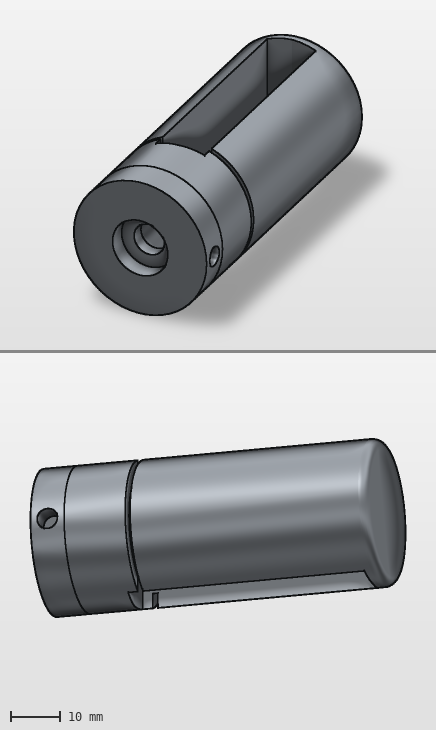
import cadquery as cq

TOTAL_LENGTH = 70.45
OUTER_DIAMETER = 30.0
REAR_ROUND = 2.0

CAP_LENGTH = 7.05
BORE_DIAMETER = 6.8
COUNTERBORE_DIAMETER = 12.5
COUNTERBORE_DEPTH = 4.0
SIDE_HOLE_DIAMETER = 4.2
SIDE_HOLE_DEPTH = 5.0

GROOVE_START = 19.8
GROOVE_WIDTH = 1.05
GROOVE_FLOOR_DIAMETER = 24.2

SLOT_WIDTH = 11.0
SLOT_FRONT = 17.75
SLOT_REAR = 67.15
SLOT_POINT = 0.3

OUTER_RADIUS = OUTER_DIAMETER / 2
SIDE_HOLE_Y = CAP_LENGTH / 2


def cylinder(diameter, start, length):
    """A solid cylinder on the Y axis, from Y = start towards +Y."""
    return cq.Workplane("XZ", origin=(0, start, 0)).circle(diameter / 2).extrude(-length)


def make_bore():
    """The axial hole through cap and barrel, running on into the open slot."""
    return cylinder(BORE_DIAMETER, 0, SLOT_FRONT)


def make_side_hole():
    """The blind radial hole in the +X side of the cap."""
    bottom_x = OUTER_RADIUS - SIDE_HOLE_DEPTH
    return (
        cq.Workplane("YZ", origin=(bottom_x, SIDE_HOLE_Y, 0))
        .circle(SIDE_HOLE_DIAMETER / 2)
        .extrude(SIDE_HOLE_DEPTH)
    )


def make_slot():
    """The long window that passes through along Z, with shallow V-shaped ends."""
    half_width = SLOT_WIDTH / 2
    outline = [
        (-half_width, SLOT_FRONT),
        (0, SLOT_FRONT - SLOT_POINT),
        (half_width, SLOT_FRONT),
        (half_width, SLOT_REAR),
        (0, SLOT_REAR + SLOT_POINT),
        (-half_width, SLOT_REAR),
    ]
    return cq.Workplane("XY").polyline(outline).close().extrude(OUTER_RADIUS, both=True)


def make_groove():
    """The ring that is cut away to leave the narrow groove around the barrel."""
    ring = cylinder(OUTER_DIAMETER, GROOVE_START, GROOVE_WIDTH)
    return ring.cut(cylinder(GROOVE_FLOOR_DIAMETER, GROOVE_START, GROOVE_WIDTH))


def make_cap():
    """The front disc with its counterbored axial hole and side hole."""
    disc = cylinder(OUTER_DIAMETER, 0, CAP_LENGTH)
    counterbore = cylinder(COUNTERBORE_DIAMETER, 0, COUNTERBORE_DEPTH)
    return disc.cut(counterbore).cut(make_bore()).cut(make_side_hole())


def make_barrel():
    """The slotted and grooved barrel with a rounded rear rim."""
    blank = cylinder(OUTER_DIAMETER, CAP_LENGTH, TOTAL_LENGTH - CAP_LENGTH)
    rounded = blank.faces(">Y").edges().fillet(REAR_ROUND)
    return rounded.cut(make_groove()).cut(make_slot()).cut(make_bore())


cap = make_cap()
barrel = make_barrel()

result = cq.Compound.makeCompound([cap.val(), barrel.val()])